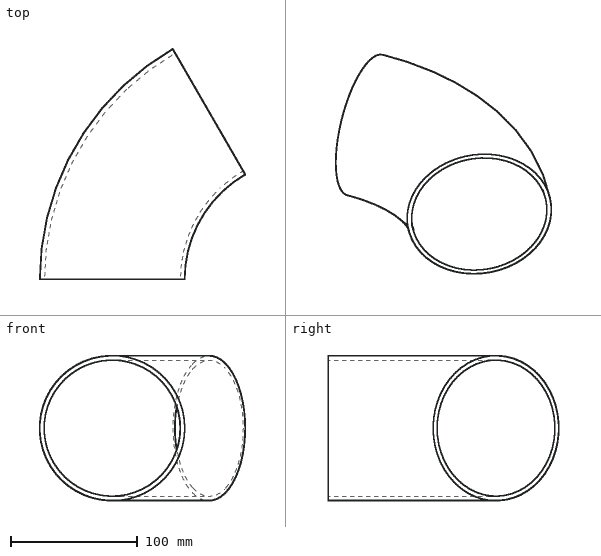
import cadquery as cq

outer_diameter = 114.3
wall_thickness = 3.6
bend_radius = 152.5
bend_angle = 60.0

outer_radius = outer_diameter / 2
inner_radius = outer_radius - wall_thickness


def make_elbow():
    """Revolve the tube ring, lying in the XZ plane at the origin, about a vertical axis at X = bend_radius."""
    ring = cq.Workplane("XZ").circle(outer_radius).circle(inner_radius)
    axis_start = (bend_radius, 0)
    axis_end = (bend_radius, -1)
    return ring.revolve(bend_angle, axis_start, axis_end)


result = make_elbow()